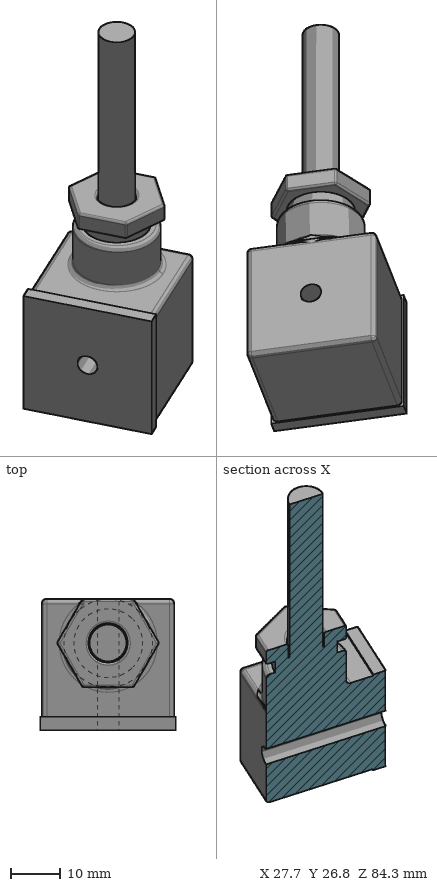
import cadquery as cq
import math

plate_size = 27.7
plate_thickness = 2.8

total_depth = 26.8
housing_width = 27.0
housing_edge_radius = 1.0
screw_hole_diameter = 4.3

housing_depth = total_depth - plate_thickness
housing_inset = (plate_size - housing_width) / 2
housing_top = plate_size - housing_inset

collar_diameter = 18.0
collar_height = 10.0
collar_edge_radius = 1.0
collar_foot_radius = 1.0
neck_diameter = 14.0
neck_length = 3.0
nut_sides = 6
nut_across_flats = 18.0
nut_thickness = 4.0
nut_edge_radius = 0.5
bore_diameter = 8.0
bore_edge_radius = 0.5

cable_diameter = 7.5
cable_free_length = 40.0

collar_top = housing_top + collar_height
nut_bottom = collar_top + neck_length
nut_top = nut_bottom + nut_thickness
total_height = nut_top + cable_free_length

axis_y = total_depth - collar_diameter / 2


def disc(diameter, bottom, top):
    """Vertical cylinder on the gland axis."""
    return (
        cq.Workplane("XY", origin=(0, axis_y, bottom))
        .circle(diameter / 2)
        .extrude(top - bottom)
    )


def make_plate():
    """Square face plate at the front of the part."""
    return cq.Workplane("XY").box(plate_size, plate_thickness, plate_size, centered=(True, False, False))


def make_housing():
    """Block rounded on every edge that does not touch the plate."""
    return (
        cq.Workplane("XY", origin=(0, plate_thickness, housing_inset))
        .box(housing_width, housing_depth, housing_width, centered=(True, False, False))
        .edges("not <Y")
        .fillet(housing_edge_radius)
    )


def make_collar():
    """Round collar with a rounded top rim and a concave foot, cut flush with the housing back."""
    radius = collar_diameter / 2
    foot_outer = radius + collar_foot_radius
    foot_top = housing_top + collar_foot_radius
    foot_bottom = housing_top - housing_edge_radius
    arc_offset = collar_foot_radius * (1 - math.sqrt(0.5))
    collar = (
        cq.Workplane("XZ")
        .moveTo(0, foot_bottom)
        .lineTo(radius, foot_bottom)
        .lineTo(radius, housing_top)
        .lineTo(foot_outer, housing_top)
        .threePointArc((radius + arc_offset, housing_top + arc_offset), (radius, foot_top))
        .lineTo(radius, collar_top)
        .lineTo(0, collar_top)
        .close()
        .revolve(360, (0, 0, 0), (0, 1, 0))
        .faces(">Z")
        .edges()
        .fillet(collar_edge_radius)
        .translate((0, axis_y, 0))
    )
    footprint = cq.Workplane("XY").box(
        housing_width, total_depth, total_height, centered=(True, False, False)
    )
    return collar.intersect(footprint)


def make_nut():
    """Hexagon nut with corners along X, rounded edges and a rounded bore mouth."""
    across_corners = nut_across_flats / math.cos(math.pi / nut_sides)
    nut = (
        cq.Workplane("XY", origin=(0, axis_y, nut_bottom))
        .polygon(nut_sides, across_corners)
        .extrude(nut_thickness)
        .edges()
        .fillet(nut_edge_radius)
    )
    bored = nut.cut(disc(bore_diameter, nut_bottom, nut_top))
    return bored.faces(">Z").edges("%CIRCLE").fillet(bore_edge_radius)


def make_screw_hole():
    """Hole through the plate and housing along Y, at the plate centre."""
    return (
        cq.Workplane("XZ", origin=(0, total_depth, plate_size / 2))
        .circle(screw_hole_diameter / 2)
        .extrude(total_depth)
    )


neck = disc(neck_diameter, collar_top, nut_bottom)
cable = disc(cable_diameter, nut_bottom, total_height)

result = (
    make_plate()
    .union(make_housing())
    .union(make_collar())
    .union(neck)
    .union(make_nut())
    .union(cable)
    .cut(make_screw_hole())
)